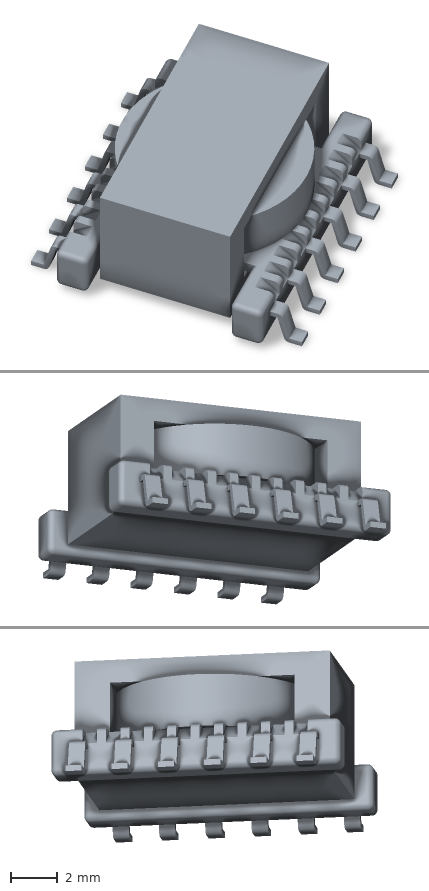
import cadquery as cq
import math


lead_span = 12.48
bobbin_length = 12.5
core_top = 5.64

core_width = 6.0
core_length = 11.02
core_height = 5.02
window_length = 7.96
window_height = 3.02
post_diameter = 4.28

winding_diameter = 8.5
winding_top = 4.52
deck_top = 2.25
plate_thickness = 0.5
plate_length = 7.44
rail_outer_x = 4.75
rail_width = 1.45
rail_height = 2.0
rail_fillet = 0.25

notch_count = 10
notch_pitch = 1.01
notch_width = 0.62
notch_run = 0.88
notch_drop = 0.69

lead_count = 6
lead_pitch = 2.0
lead_width = 0.7
lead_thickness = 0.25
lead_lean = 15.0
lead_top = deck_top - notch_drop
upper_bend_x = 5.11

core_middle_z = core_top - core_height / 2
rail_middle_x = rail_outer_x - rail_width / 2
rail_inner_x = rail_outer_x - rail_width


def row_positions(count, pitch):
    """Y positions of a row centred on Y = 0."""
    return [(i - (count - 1) / 2) * pitch for i in range(count)]


def make_core():
    frame = cq.Workplane("XY").box(core_width, core_length, core_height)
    window = cq.Workplane("XY").box(core_width, window_length, window_height)
    leg_hollows = cq.Workplane("XY").cylinder(window_height, winding_diameter / 2)
    post = cq.Workplane("XY").cylinder(window_height, post_diameter / 2)
    core = frame.cut(window).cut(leg_hollows).union(post)
    return core.translate((0, 0, core_middle_z))


def make_rail():
    """Rail on the +X side, rounded on every edge."""
    rail = cq.Workplane("XY").box(rail_width, bobbin_length, rail_height).edges().fillet(rail_fillet)
    return rail.translate((rail_middle_x, 0, deck_top - rail_height / 2))


def make_plate():
    """Plate that reaches past the rounded inner edges of both rails."""
    plate_width = 2 * (rail_inner_x + rail_fillet)
    plate = cq.Workplane("XY").box(plate_width, plate_length, plate_thickness)
    return plate.translate((0, 0, deck_top - plate_thickness / 2))


def make_winding():
    winding = cq.Workplane("XY").workplane(offset=deck_top).circle(winding_diameter / 2)
    return winding.extrude(winding_top - deck_top)


def make_notch(y):
    """Wedge that slopes down to the outer face of the +X rail."""
    wedge = (
        cq.Workplane("XZ")
        .moveTo(rail_outer_x - notch_run, deck_top)
        .lineTo(rail_outer_x, deck_top)
        .lineTo(rail_outer_x, deck_top - notch_drop)
        .close()
        .extrude(notch_width / 2, both=True)
    )
    return wedge.translate((0, y, 0))


def make_lead(y):
    """Lead on the +X side. Each bend is sharp inside and round outside."""
    lean = math.radians(lead_lean)
    upper_bend = (upper_bend_x, lead_top - lead_thickness)

    def bend_point(centre, angle):
        return (
            centre[0] + lead_thickness * math.sin(angle),
            centre[1] + lead_thickness * math.cos(angle),
        )

    turn = math.pi / 2 - lean
    slope_top = bend_point(upper_bend, turn)

    foot_drop = slope_top[1] - lead_thickness
    lower_bend = (slope_top[0] + foot_drop * math.tan(lean), lead_thickness)

    lead = (
        cq.Workplane("XZ")
        .moveTo(rail_middle_x, lead_top)
        .lineTo(upper_bend_x, lead_top)
        .threePointArc(bend_point(upper_bend, turn / 2), slope_top)
        .lineTo(*lower_bend)
        .lineTo(lead_span / 2, lead_thickness)
        .lineTo(lead_span / 2, 0)
        .lineTo(lower_bend[0], 0)
        .threePointArc(
            bend_point(lower_bend, math.pi + turn / 2),
            bend_point(lower_bend, math.pi + turn),
        )
        .lineTo(*upper_bend)
        .lineTo(rail_middle_x, lead_top - lead_thickness)
        .close()
        .extrude(lead_width / 2, both=True)
    )
    return lead.translate((0, y, 0))


def make_rail_side():
    """The +X rail with its notches and leads."""
    side = make_rail()
    for y in row_positions(notch_count, notch_pitch):
        side = side.cut(make_notch(y))
    for y in row_positions(lead_count, lead_pitch):
        side = side.union(make_lead(y))
    return side


def make_bobbin():
    rail_side = make_rail_side()
    bobbin = make_plate().union(make_winding())
    bobbin = bobbin.union(rail_side).union(rail_side.mirror("YZ"))
    post_bore = cq.Workplane("XY").circle(post_diameter / 2).extrude(winding_top)
    return bobbin.cut(post_bore)


core = make_core()
bobbin = make_bobbin()

result = cq.Compound.makeCompound([core.solids().val(), bobbin.solids().val()])